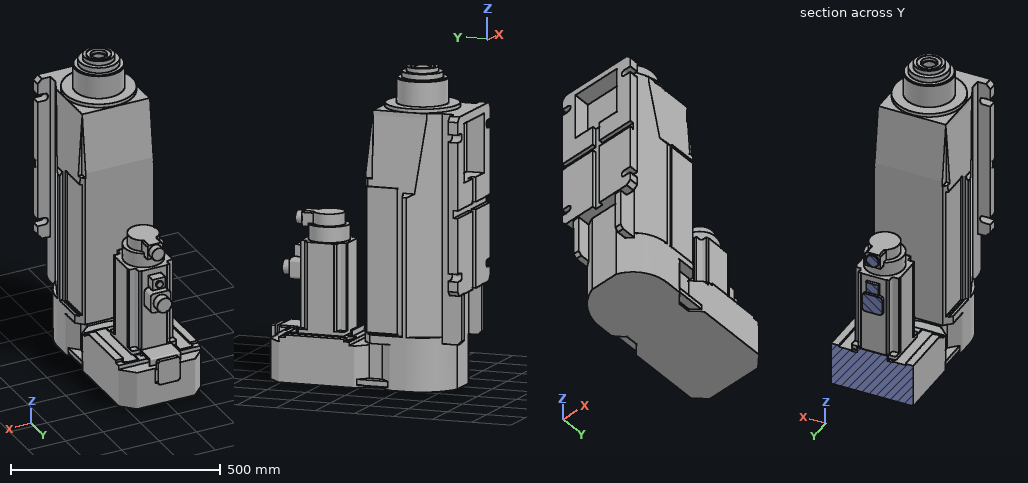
import cadquery as cq
import math

half_width = 110.0
head_top = 677.0

face_y = -132.0
plate_back_y = -107.0
plate_bottom = 240.0
plate_chamfer = 12.0
slot_width = 18.5
slot_end_x = 82.0
slot_heights = (286.0, 625.5)
groove_width = 21.0
groove_depth = 11.0
cross_groove_z = 441.0
cross_groove_width = 18.5
pocket_width = 133.0
pocket_depth = 44.0
pocket_bottom = 511.0
pocket_top = 656.0

neck_half_width = 76.0
neck_y = -math.sqrt(half_width**2 - neck_half_width**2)
base_flat_y = -103.0
base_top = 132.5
overhang_z = 111.5
back_y = 111.5
back_chamfer = 18.5
back_slope_bottom = 525.0
back_top_y = 93.0
relief_front_y = 11.0
relief_half_width = 102.0
relief_top = 482.0
panel_half_width = 97.0
panel_front_y = 25.5
panel_bottom = 136.0
panel_top = 492.0
taper_half_width = 91.0
taper_top = 665.0
shoulder_bottom = 473.0
corner_relief_y = 91.5
corner_relief_bottom = 511.5

rib_thickness = 17.0
rib_front_y = -129.0
rib_bottom = 116.0
rib_chamfer = 9.0

collar_radius = 63.0
nose_steps = ((91.0, 687.0), (collar_radius, 749.5), (50.0, 763.0), (39.0, 775.0))
collar_chamfer = 2.0
nose_recess_radius = 30.0
nose_recess_depth = 1.5
bore_radius = 20.0
bore_depth = 9.0
inner_bore_radius = 17.0
inner_bore_depth = 31.0

waist_front_y = 45.0
case_front_y = 132.0
case_back_y = 360.0
case_back_chamfer = 32.5
case_side_round = 8.0
case_back_round = 4.0
case_front_top = 102.0
case_back_top = 100.0
waist_half_width = 84.0
web_half_width = 106.0
web_bottom = 7.0
web_top = 21.0
lid_front_y = 146.5
lid_back_y = 326.0
lid_top = 111.0
pad_front_y = 160.5
pad_back_y = 310.0
pad_inner_x = 89.0
pad_top = 117.0
deck_half_width = 94.0
deck_margin = 2.0
deck_corner = 8.0
deck_top = 113.0
notch_width = 110.0
notch_front_depth = 21.0
notch_back_depth = 25.5

sheet = 5.0
sheet_width = 82.0
front_tab_y = 164.0
bracket_top = 125.5
bracket_front_y = 303.0
bracket_back_y = 356.5
bracket_leg_bottom = 107.0
bracket_bend = 4.0
hanger_width = 59.0
hanger_y = 366.5
hanger_thickness = 10.0
hanger_bottom = 62.0
hanger_chamfer = 5.0

motor_y = 239.0
motor_half = 60.0
motor_bottom = deck_top
motor_flange_top = 123.0
motor_top = 336.0
motor_corner_radius = 5.0
corner_notch = 18.5
rail_half_width = 34.0
rail_step = 1.5
brake_radius = 50.0
brake_top = 374.0
encoder_radius = 39.0
encoder_top = 404.0

encoder_plug_width = 40.0
encoder_plug_bottom = 366.0
encoder_plug_y = 301.5
encoder_plug_chamfer = 4.0
encoder_tip_radius = 17.0
encoder_tip_z = 384.5
encoder_tip_y = 320.0
brake_plug_width = 34.0
brake_plug_bottom = 291.0
brake_plug_top = 320.0
brake_plug_y = 322.5
brake_tip_radius = 8.5
brake_tip_y = 328.0
power_plug_width = 54.0
power_plug_bottom = 235.0
power_plug_top = 287.0
power_plug_y = 332.0
power_plug_round = 9.0
power_tip_radius = 19.0
power_tip_y = 353.0


def block(x0, x1, y0, y1, z0, z1):
    """Box between two opposite corners."""
    return cq.Workplane("XY").box(x1 - x0, y1 - y0, z1 - z0, centered=False).translate((x0, y0, z0))


def centred_block(half_x, y0, y1, z0, z1):
    """Box symmetric about the YZ plane."""
    return block(-half_x, half_x, y0, y1, z0, z1)


def both_sides(shape):
    """The shape together with its mirror image across the YZ plane."""
    return shape.union(shape.mirror("YZ"))


def symmetric_prism(right_points, z0, z1):
    """Prism whose outline is the right-hand chain of points and its mirror image."""
    left_points = [(-x, y) for x, y in reversed(right_points)]
    return cq.Workplane("XY").workplane(offset=z0).polyline(right_points + left_points).close().extrude(z1 - z0)


def rod_along_y(radius, z, y0, y1):
    """Round rod parallel to Y in the YZ plane."""
    return cq.Workplane("XZ", origin=(0, y0, z)).circle(radius).extrude(-(y1 - y0))


def mounting_plate():
    plate = centred_block(half_width, face_y, plate_back_y, plate_bottom, head_top)
    plate = plate.edges("|Y").chamfer(plate_chamfer)
    slot_length = half_width - slot_end_x
    for z in slot_heights:
        for side in (-1, 1):
            slot = (
                cq.Workplane("XZ", origin=(side * half_width, face_y, z))
                .slot2D(2 * slot_length, slot_width)
                .extrude(face_y - plate_back_y)
            )
            plate = plate.cut(slot)
    return plate


def face_recesses():
    """Pocket and crossed grooves sunk into the mounting face."""
    groove_floor_y = face_y + groove_depth
    pocket = centred_block(pocket_width / 2, face_y, face_y + pocket_depth, pocket_bottom, pocket_top)
    upright = centred_block(groove_width / 2, face_y, groove_floor_y, plate_bottom, pocket_bottom)
    cross = centred_block(
        half_width, face_y, groove_floor_y,
        cross_groove_z - cross_groove_width / 2, cross_groove_z + cross_groove_width / 2,
    )
    return pocket.union(upright).union(cross)


def column_base():
    """Round-fronted base with a flat at its front, rising between the ribs to the mounting plate."""
    base = cq.Workplane("XY").circle(half_width).extrude(base_top)
    rise = cq.Workplane("XY").circle(half_width).extrude(plate_bottom)
    rise = rise.intersect(centred_block(neck_half_width, -half_width, 0, 0, plate_bottom))
    return base.union(rise).cut(centred_block(half_width, -half_width, base_flat_y, 0, plate_bottom))


def column_upper():
    """Faceted column with chamfered back corners, side reliefs and tapered head."""
    back_half = [(half_width, back_y - back_chamfer), (half_width - back_chamfer, back_y)]
    column = symmetric_prism([(half_width, 0)] + back_half, overhang_z, head_top)
    facets = symmetric_prism([(neck_half_width, neck_y), (half_width, 0)], base_top, head_top)
    column = column.union(facets)
    column = column.union(centred_block(neck_half_width, plate_back_y, neck_y, plate_bottom, head_top))

    relief = block(relief_half_width, half_width, relief_front_y, back_y, base_top, relief_top)
    panel = block(panel_half_width, half_width, panel_front_y, back_y, panel_bottom, panel_top)
    corner = block(taper_half_width, half_width, corner_relief_y, back_y, corner_relief_bottom, head_top)
    flank = (
        cq.Workplane("XZ", origin=(0, back_y, 0))
        .polyline([
            (half_width, shoulder_bottom),
            (relief_half_width, relief_top),
            (taper_half_width, taper_top),
            (taper_half_width, head_top),
            (half_width, head_top),
        ])
        .close()
        .extrude(back_y - neck_y)
    )
    back_slope = (
        cq.Workplane("YZ", origin=(-half_width, 0, 0))
        .polyline([(back_y, back_slope_bottom), (back_top_y, head_top), (back_y, head_top)])
        .close()
        .extrude(2 * half_width)
    )
    side_cuts = relief.union(panel).union(flank).union(corner)
    return column.cut(both_sides(side_cuts)).cut(back_slope)


def ribs():
    """Two ribs running down from the mounting plate to the round base."""
    rib = block(neck_half_width - rib_thickness, neck_half_width, rib_front_y, neck_y, rib_bottom, plate_bottom)
    rib = rib.edges("|X and <Y and <Z").chamfer(rib_chamfer)
    return both_sides(rib)


def spindle_nose():
    nose = None
    bottom = head_top
    for radius, top in nose_steps:
        step = cq.Workplane("XY").workplane(offset=bottom).circle(radius).extrude(top - bottom)
        if radius == collar_radius:
            step = step.faces(">Z").edges().chamfer(collar_chamfer)
        nose = step if nose is None else nose.union(step)
        bottom = top
    return nose


def spindle_bore():
    nose_top = nose_steps[-1][1]
    hollow = cq.Workplane("XY").workplane(offset=nose_top)
    recess = hollow.circle(nose_recess_radius).extrude(-nose_recess_depth)
    bore = hollow.circle(bore_radius).extrude(-bore_depth)
    inner = hollow.circle(inner_bore_radius).extrude(-inner_bore_depth)
    return recess.union(bore).union(inner)


def belt_case():
    """Case behind the column, joined to it by a narrow waist and a bottom web."""
    waist_inset = half_width - waist_half_width
    waist_back_y = case_front_y - waist_inset
    outline = [
        (half_width, 0),
        (half_width, waist_front_y),
        (waist_half_width, waist_front_y + waist_inset),
        (waist_half_width, waist_back_y),
        (half_width, case_front_y),
        (half_width, case_back_y - case_back_chamfer),
        (half_width - case_back_chamfer, case_back_y),
    ]
    case = symmetric_prism(outline, 0, overhang_z)
    for (x, y), radius in (
        (outline[1], case_side_round),
        (outline[4], case_side_round),
        (outline[5], case_back_round),
        (outline[6], case_back_round),
    ):
        for side in (-1, 1):
            corner = (side * x, y, overhang_z / 2)
            case = case.edges(cq.selectors.NearestToPointSelector(corner)).fillet(radius)

    case = case.cut(centred_block(half_width, waist_back_y, lid_back_y, case_front_top, overhang_z))
    case = case.cut(centred_block(half_width, lid_back_y, case_back_y, case_back_top, overhang_z))
    web = centred_block(web_half_width, waist_front_y, case_front_y, web_bottom, web_top)
    lid = centred_block(half_width, lid_front_y, lid_back_y, case_back_top, lid_top)
    return case.union(web).union(lid)


def case_deck():
    """Motor deck on the lid: chamfered plate with two end notches between raised side pads."""
    deck_front_y = lid_front_y + deck_margin
    deck_back_y = lid_back_y - deck_margin
    deck = centred_block(deck_half_width, deck_front_y, deck_back_y, lid_top, deck_top)
    deck = deck.edges("|Z").chamfer(deck_corner)
    for y0, y1 in (
        (deck_front_y, deck_front_y + notch_front_depth),
        (deck_back_y - notch_back_depth, deck_back_y),
    ):
        deck = deck.cut(centred_block(notch_width / 2, y0, y1, lid_top, deck_top))
    pad = block(pad_inner_x, half_width, pad_front_y, pad_back_y, lid_top, pad_top)
    return deck.union(both_sides(pad))


def sheet_brackets():
    tab = centred_block(sheet_width / 2, front_tab_y, front_tab_y + sheet, lid_top, bracket_top)
    top = centred_block(sheet_width / 2, bracket_front_y, bracket_back_y, bracket_top - sheet, bracket_top)
    front_leg = centred_block(sheet_width / 2, bracket_front_y, bracket_front_y + sheet, lid_top, bracket_top)
    back_leg = centred_block(
        sheet_width / 2, bracket_back_y - sheet, bracket_back_y, bracket_leg_bottom, bracket_top
    )
    bracket = top.union(front_leg).union(back_leg)
    bracket = bracket.edges("|X and >Z").fillet(bracket_bend)
    hanger = centred_block(hanger_width / 2, hanger_y, hanger_y + hanger_thickness, hanger_bottom, bracket_top)
    hanger = hanger.edges("|Y").chamfer(hanger_chamfer)
    hanger_foot = centred_block(hanger_width / 2, case_back_y, hanger_y, hanger_bottom, case_back_top)
    return tab.union(bracket).union(hanger).union(hanger_foot)


def make_housing():
    housing = column_base().union(column_upper()).union(mounting_plate()).cut(face_recesses())
    housing = housing.union(ribs()).union(spindle_nose()).cut(spindle_bore())
    return housing.union(belt_case()).union(case_deck()).union(sheet_brackets())


def motor_frame():
    """Square frame with grooved corners standing on a thin full-square flange."""
    height = motor_top - motor_bottom
    frame = cq.Workplane("XY", origin=(0, motor_y, motor_bottom))
    frame = frame.rect(2 * motor_half, 2 * motor_half).extrude(height)
    frame = frame.edges("|Z").fillet(motor_corner_radius)
    groove_height = motor_top - motor_flange_top
    grooves = cq.Workplane("XY", origin=(0, motor_y, motor_flange_top))
    corner_centres = [(sx * motor_half, sy * motor_half) for sx in (-1, 1) for sy in (-1, 1)]
    corner = grooves.pushPoints(corner_centres).rect(2 * corner_notch, 2 * corner_notch).extrude(groove_height)
    corner = corner.edges("|Z").fillet(motor_corner_radius)
    inner = 2 * (motor_half - rail_step)
    outer = 2 * motor_half
    rail = 2 * rail_half_width
    keep = grooves.rect(inner, inner).extrude(groove_height)
    keep = keep.union(grooves.rect(outer, rail).extrude(groove_height))
    keep = keep.union(grooves.rect(rail, outer).extrude(groove_height))
    skin = grooves.rect(outer, outer).extrude(groove_height).cut(keep)
    return frame.cut(corner).cut(skin)


def motor_plugs():
    encoder = centred_block(encoder_plug_width / 2, motor_y, encoder_plug_y, encoder_plug_bottom, encoder_top)
    encoder = encoder.edges("|Y and >Z").chamfer(encoder_plug_chamfer)
    encoder = encoder.union(rod_along_y(encoder_tip_radius, encoder_tip_z, encoder_plug_y, encoder_tip_y))

    frame_back_y = motor_y + motor_half
    root_y = frame_back_y - rail_step
    brake = centred_block(brake_plug_width / 2, root_y, brake_plug_y, brake_plug_bottom, brake_plug_top)
    brake_tip_z = (brake_plug_bottom + brake_plug_top) / 2
    brake = brake.union(rod_along_y(brake_tip_radius, brake_tip_z, brake_plug_y, brake_tip_y))

    power = centred_block(power_plug_width / 2, frame_back_y, power_plug_y, power_plug_bottom, power_plug_top)
    power = power.edges("|Y").fillet(power_plug_round)
    power_tip_z = (power_plug_bottom + power_plug_top) / 2
    power = power.union(rod_along_y(power_tip_radius, power_tip_z, power_plug_y, power_tip_y))
    return encoder.union(brake).union(power)


def make_motor():
    axis = cq.Workplane("XY", origin=(0, motor_y, motor_top))
    brake_can = axis.circle(brake_radius).extrude(brake_top - motor_top)
    encoder_can = axis.circle(encoder_radius).extrude(encoder_top - motor_top)
    return motor_frame().union(brake_can).union(encoder_can).union(motor_plugs())


housing = make_housing()
motor = make_motor()

result = cq.Compound.makeCompound([housing.val(), motor.val()])